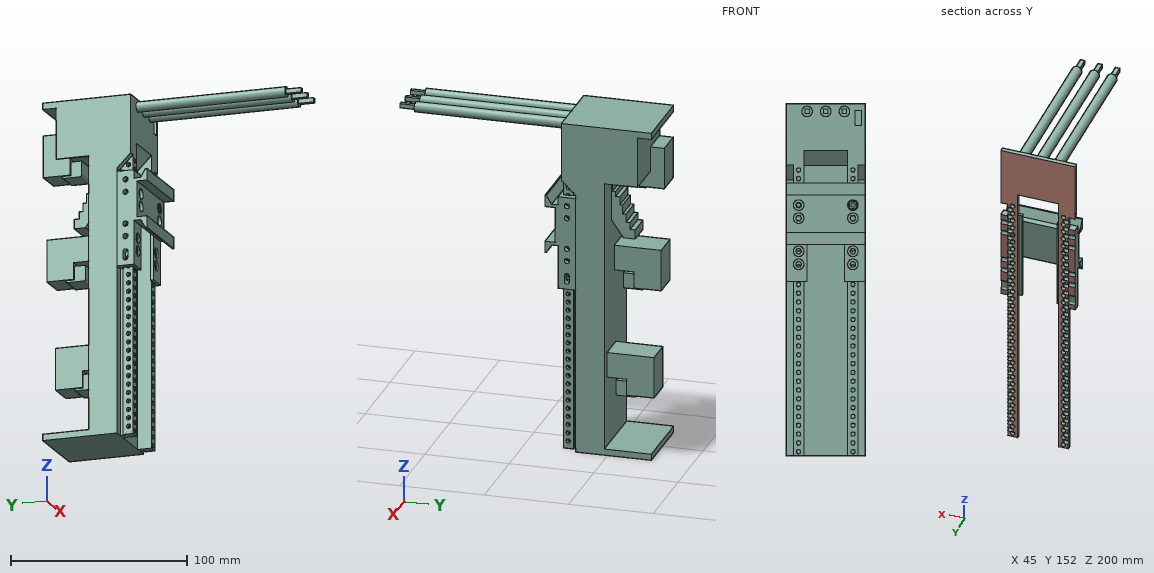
import cadquery as cq


HEIGHT = 200.0
WIDTH = 45.0
HALF_WIDTH = WIDTH / 2
DEPTH = 53.2
FLANGE_THICKNESS = 3.8
HEAD_DEPTH = 45.0
HEAD_HEIGHT = 34.0
COLUMN_DEPTH = 25.5

RAIL_INNER_X = 12.5
RAIL_OUTER_X = 18.5
RAIL_CENTRE_X = (RAIL_INNER_X + RAIL_OUTER_X) / 2
RAIL_RELIEF = 8.5
CHANNEL_TOP_Z = HEIGHT - 26.5
SHELF_TOP_Z = HEIGHT - 34.8
GROOVE_TOP_Z = SHELF_TOP_Z - RAIL_RELIEF
GROOVE_FRONT_Y = 6.0
GROOVE_DEPTH = 2.0
RAIL_HOLE_DIAMETER = 2.5
RAIL_HOLE_PITCH = 5.0
FRONT_HOLE_COUNT = 33
FRONT_HOLE_FIRST_Z = 2.5
FRONT_HOLE_DEPTH = 5.0
SIDE_HOLE_COUNT = 32
SIDE_HOLE_FIRST_Z = 4.5
SIDE_HOLE_DEPTH = 3.0
SIDE_HOLE_Y = 2.8

POCKET_LEFT_X = 16.5
POCKET_WIDTH = 3.8
POCKET_HEIGHT = 8.5
POCKET_DEPTH = 2.0
POCKET_TOP_Z = HEIGHT - 4.0

HOOK_WIDTH = 18.0
HOOK_HEIGHT = 24.8
HOOK_PITCH = 60.0
HOOK_LEFT_XS = (-0.8, -15.5, -21.5)
HOOK_LOWEST_TOP_Z = 60.8
HOOK_NECK_HEIGHT = 15.0
HOOK_LEG_FRONT_Y = 37.0
CLIP_FRONT_Y = 30.5
CLIP_BACK_Y = 42.5
CLIP_HEIGHT = 9.2
CLIP_DROP = 1.2
CLIP_INSET = 1.5
CLIP_FILLET = 1.0

LEVER_WIDTH = 16.0
LEVER_OUTLINE = [
    (COLUMN_DEPTH, 160.0),
    (26.0, 160.0),
    (26.0, 156.0),
    (27.8, 156.0),
    (27.8, 153.0),
    (30.5, 153.0),
    (30.5, 148.2),
    (32.0, 148.2),
    (32.0, 142.8),
    (34.0, 142.8),
    (34.0, 138.0),
    (36.5, 138.0),
    (36.5, 133.8),
    (39.5, 133.8),
    (39.5, 128.2),
    (32.5, 128.2),
    (COLUMN_DEPTH, 138.5),
]

CARRIER_TOP_Z = HEIGHT - 45.0
BRACKET_HEIGHT = 56.0
BRACKET_BOTTOM_Z = CARRIER_TOP_Z - BRACKET_HEIGHT
BRACKET_INNER_X = 10.5
SHEET = 1.9
PLATE_FRONT_Y = -2 * SHEET
DIN_RAIL_HEIGHT = 35.0
DIN_RAIL_CENTRE_Z = CARRIER_TOP_Z - DIN_RAIL_HEIGHT / 2
DIN_RAIL_FRONT_Y = -9.8
LIP_HEIGHT = 5.0
LIP_ROOT_Y = -5.8
LIP_TIP_THICKNESS = 0.8
UPPER_HOLE_STEPS = (0, 7.5)
LOWER_HOLE_STEPS = (26.2, 33.5)
MOUNT_HOLE_TOP_Z = HEIGHT - 57.5
MOUNT_HOLE_DIAMETER = 3.0
COUNTERBORE_DIAMETER = 6.0
UPPER_COUNTERBORE_FLOOR_Y = -SHEET
LOWER_COUNTERBORE_FLOOR_Y = -0.8
BRACKET_SIDE_HOLE_TOP_Z = HEIGHT - 50.2
BRACKET_SIDE_HOLE_Y = 3.2
SLOT_LENGTH = 6.5
SLOT_CENTRE_Z = HEIGHT - 94.5

SCREW_HEAD_DIAMETER = 5.0
SCREW_HEAD_HEIGHT = 1.5
RECESS_LENGTH = 3.5
RECESS_WIDTH = 1.2
RECESS_DEPTH = 1.0

WIRE_XS = (-10.5, 0, 10.5)
WIRE_Z = HEIGHT - 4.5
WIRE_DIAMETER = 6.0
SHEATH_LENGTH = 89.8
CORE_LENGTH = 9.0
CORE_SIDE = 2.5


def block(x_range, y_range, z_range):
    """Box given by its two limits along each axis."""
    lengths = [limits[1] - limits[0] for limits in (x_range, y_range, z_range)]
    return cq.Workplane("XY").box(*lengths, centered=False).translate((x_range[0], y_range[0], z_range[0]))


def side_profile(points, x_min, x_max):
    """Outline given as (y, z) points, extruded from x_min to x_max."""
    return cq.Workplane("YZ").workplane(offset=x_min).polyline(points).close().extrude(x_max - x_min)


def front_cylinders(points, diameter, y_front, y_back):
    """Cylinders along Y at (x, z) points, from y_front to y_back."""
    plane = cq.Workplane("XZ", origin=(0, y_front, 0))
    return plane.pushPoints(points).circle(diameter / 2).extrude(y_front - y_back)


def mirrored_pair(body):
    """A shape together with its mirror image across the plane X = 0."""
    return body.union(body.mirror("YZ"))


def housing_shell():
    profile = [
        (0, 0),
        (DEPTH, 0),
        (DEPTH, FLANGE_THICKNESS),
        (COLUMN_DEPTH, FLANGE_THICKNESS),
        (COLUMN_DEPTH, HEIGHT - HEAD_HEIGHT),
        (HEAD_DEPTH, HEIGHT - HEAD_HEIGHT),
        (HEAD_DEPTH, HEIGHT - FLANGE_THICKNESS),
        (DEPTH, HEIGHT - FLANGE_THICKNESS),
        (DEPTH, HEIGHT),
        (0, HEIGHT),
    ]
    return side_profile(profile, -HALF_WIDTH, HALF_WIDTH)


def relief_cut(x_min, x_max, top_z):
    """Cut into the front face that ends at the top in a 45 degree slope."""
    profile = [(0, 0), (RAIL_RELIEF, 0), (RAIL_RELIEF, top_z - RAIL_RELIEF), (0, top_z)]
    return side_profile(profile, x_min, x_max)


def rail_cuts():
    channel = relief_cut(-RAIL_INNER_X, RAIL_INNER_X, CHANNEL_TOP_Z)
    shelf = relief_cut(RAIL_OUTER_X, HALF_WIDTH, SHELF_TOP_Z)
    groove = block(
        (RAIL_OUTER_X - GROOVE_DEPTH, RAIL_OUTER_X), (GROOVE_FRONT_Y, RAIL_RELIEF), (0, GROOVE_TOP_Z)
    )
    return channel.union(mirrored_pair(shelf.union(groove)))


def rail_holes():
    front_points = [
        (RAIL_CENTRE_X, FRONT_HOLE_FIRST_Z + i * RAIL_HOLE_PITCH) for i in range(FRONT_HOLE_COUNT)
    ]
    side_points = [(SIDE_HOLE_Y, SIDE_HOLE_FIRST_Z + i * RAIL_HOLE_PITCH) for i in range(SIDE_HOLE_COUNT)]
    front_holes = front_cylinders(front_points, RAIL_HOLE_DIAMETER, 0, FRONT_HOLE_DEPTH)
    side_plane = cq.Workplane("YZ", origin=(RAIL_OUTER_X, 0, 0))
    side_holes = side_plane.pushPoints(side_points).circle(RAIL_HOLE_DIAMETER / 2).extrude(-SIDE_HOLE_DEPTH)
    return mirrored_pair(front_holes.union(side_holes))


def front_pocket():
    return block(
        (POCKET_LEFT_X, POCKET_LEFT_X + POCKET_WIDTH),
        (0, POCKET_DEPTH),
        (POCKET_TOP_Z - POCKET_HEIGHT, POCKET_TOP_Z),
    )


def busbar_hook(left_x, top_z):
    """Hook reaching back and down from the column, with a narrower clip at its foot."""
    right_x = left_x + HOOK_WIDTH
    foot_z = top_z - HOOK_HEIGHT
    neck_z = top_z - HOOK_NECK_HEIGHT
    profile = [
        (COLUMN_DEPTH, top_z),
        (DEPTH, top_z),
        (DEPTH, foot_z),
        (HOOK_LEG_FRONT_Y, foot_z),
        (HOOK_LEG_FRONT_Y, neck_z),
        (COLUMN_DEPTH, neck_z),
    ]
    clip_bottom_z = foot_z - CLIP_DROP
    clip = block(
        (left_x + CLIP_INSET, right_x - CLIP_INSET),
        (CLIP_FRONT_Y, CLIP_BACK_Y),
        (clip_bottom_z, clip_bottom_z + CLIP_HEIGHT),
    )
    clip = clip.faces("<Z").edges("|X").fillet(CLIP_FILLET)
    return side_profile(profile, left_x, right_x).union(clip)


def release_lever():
    """Lever sloping back and down from the column, with a stepped upper side."""
    return side_profile(LEVER_OUTLINE, -LEVER_WIDTH / 2, LEVER_WIDTH / 2)


def make_housing():
    body = housing_shell().cut(rail_cuts()).cut(rail_holes()).cut(front_pocket())
    for level, left_x in enumerate(HOOK_LEFT_XS):
        body = body.union(busbar_hook(left_x, HOOK_LOWEST_TOP_Z + level * HOOK_PITCH))
    return body.union(release_lever())


def bracket():
    """Bracket around the right rail: front plate, side wall and a tongue in the rail groove."""
    z_range = (BRACKET_BOTTOM_Z, CARRIER_TOP_Z)
    front_plate = block((BRACKET_INNER_X, HALF_WIDTH), (-SHEET, 0), z_range)
    side_wall = block((RAIL_OUTER_X, HALF_WIDTH), (-SHEET, RAIL_RELIEF), z_range)
    tongue = block((RAIL_OUTER_X - GROOVE_DEPTH, RAIL_OUTER_X), (GROOVE_FRONT_Y, RAIL_RELIEF), z_range)
    return front_plate.union(side_wall).union(tongue)


def bracket_side_holes():
    steps = UPPER_HOLE_STEPS + LOWER_HOLE_STEPS
    points = [(BRACKET_SIDE_HOLE_Y, BRACKET_SIDE_HOLE_TOP_Z - step) for step in steps]
    plane = cq.Workplane("YZ", origin=(RAIL_OUTER_X, 0, 0))
    wall = HALF_WIDTH - RAIL_OUTER_X
    holes = plane.pushPoints(points).circle(MOUNT_HOLE_DIAMETER / 2).extrude(wall)
    slot = plane.center(BRACKET_SIDE_HOLE_Y, SLOT_CENTRE_Z).slot2D(SLOT_LENGTH, MOUNT_HOLE_DIAMETER, 90)
    return holes.union(slot.extrude(wall))


def din_rail():
    """Mounting rail across both brackets: a flat plate with a flange and a tapered lip at each edge."""
    half_height = DIN_RAIL_HEIGHT / 2
    flange_outer = half_height - LIP_HEIGHT
    flange_inner = flange_outer - SHEET
    upper_edge = [
        (-SHEET, flange_outer),
        (LIP_ROOT_Y, flange_outer),
        (DIN_RAIL_FRONT_Y + LIP_TIP_THICKNESS, half_height),
        (DIN_RAIL_FRONT_Y, half_height),
        (DIN_RAIL_FRONT_Y, flange_inner),
        (PLATE_FRONT_Y, flange_inner),
    ]
    lower_edge = [(y, -z) for y, z in reversed(upper_edge)]
    rail = side_profile(upper_edge + lower_edge, -HALF_WIDTH, HALF_WIDTH)
    return rail.translate((0, 0, DIN_RAIL_CENTRE_Z))


def counterbored_holes(steps, counterbore_floor_y):
    points = [(RAIL_CENTRE_X, MOUNT_HOLE_TOP_Z - step) for step in steps]
    holes = front_cylinders(points, MOUNT_HOLE_DIAMETER, PLATE_FRONT_Y, 0)
    return holes.union(front_cylinders(points, COUNTERBORE_DIAMETER, PLATE_FRONT_Y, counterbore_floor_y))


def mounting_holes():
    """Upper holes sunk through the rail plate, lower ones sunk into the bracket alone."""
    upper = counterbored_holes(UPPER_HOLE_STEPS, UPPER_COUNTERBORE_FLOOR_Y)
    return upper.union(counterbored_holes(LOWER_HOLE_STEPS, LOWER_COUNTERBORE_FLOOR_Y))


def make_carrier():
    brackets = mirrored_pair(bracket().cut(bracket_side_holes()))
    return brackets.union(din_rail()).cut(mirrored_pair(mounting_holes()))


def make_screw():
    """Cross-recess screw in the upper right counterbore, its shank filling the rail hole behind."""
    centre = [(RAIL_CENTRE_X, MOUNT_HOLE_TOP_Z)]
    head_front_y = UPPER_COUNTERBORE_FLOOR_Y - SCREW_HEAD_HEIGHT
    head = front_cylinders(centre, SCREW_HEAD_DIAMETER, head_front_y, UPPER_COUNTERBORE_FLOOR_Y)
    shank = front_cylinders(centre, RAIL_HOLE_DIAMETER, UPPER_COUNTERBORE_FLOOR_Y, FRONT_HOLE_DEPTH)
    recess_plane = cq.Workplane("XZ", origin=(RAIL_CENTRE_X, head_front_y, MOUNT_HOLE_TOP_Z))
    upright = recess_plane.rect(RECESS_WIDTH, RECESS_LENGTH).extrude(-RECESS_DEPTH)
    level = recess_plane.rect(RECESS_LENGTH, RECESS_WIDTH).extrude(-RECESS_DEPTH)
    return head.union(shank).cut(upright).cut(level)


def make_wire(x):
    """Round sheath with a bare square core at its free end."""
    sheath = front_cylinders([(x, WIRE_Z)], WIRE_DIAMETER, -SHEATH_LENGTH, 0)
    core_plane = cq.Workplane("XZ", origin=(x, -SHEATH_LENGTH, WIRE_Z))
    return sheath.union(core_plane.rect(CORE_SIDE, CORE_SIDE).extrude(CORE_LENGTH))


housing = make_housing()
carrier = make_carrier()
screw = make_screw()
wires = [make_wire(x) for x in WIRE_XS]

result = cq.Compound.makeCompound(
    [housing.val(), carrier.val(), screw.val(), *[wire.val() for wire in wires]]
)